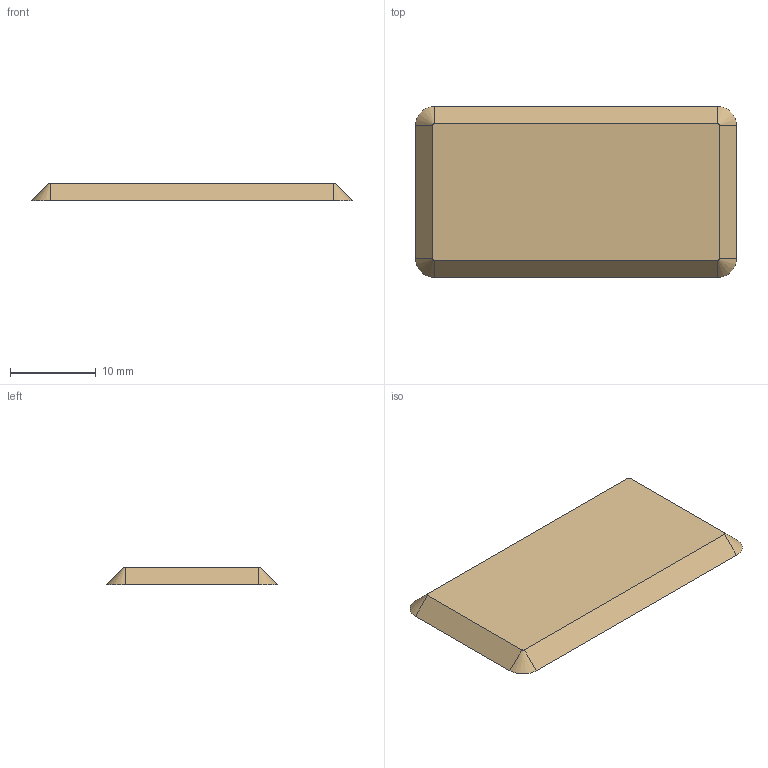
import cadquery as cq

length = 37.5
width = 20.0
thickness = 2.0
base_corner_radius = 2.2
side_slope = 45.0


def rounded_base_outline():
    """Rectangle in the XY plane, centred on the origin, with rounded corners."""
    return cq.Sketch().rect(length, width).vertices().fillet(base_corner_radius)


result = (
    cq.Workplane("XY")
    .placeSketch(rounded_base_outline())
    .extrude(thickness, taper=side_slope)
)